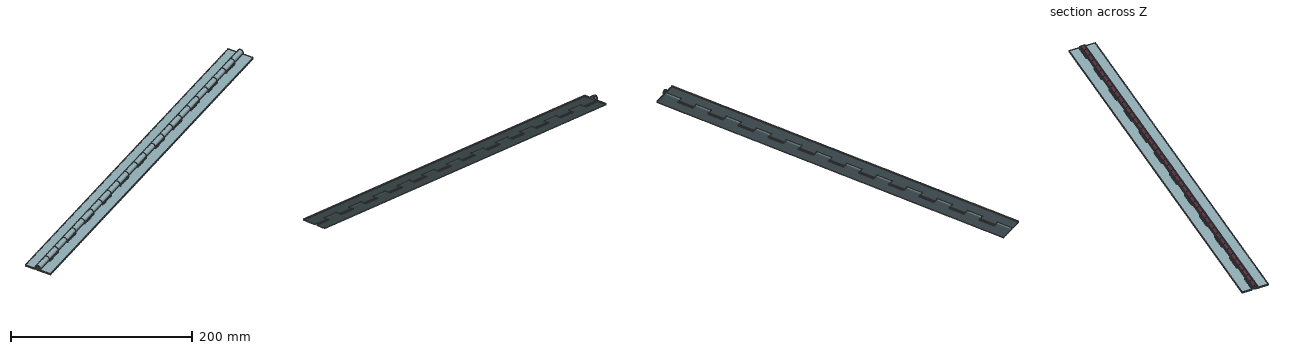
import cadquery as cq

hinge_length = 450.0
hinge_width = 32.0
barrel_diameter = 6.8
sheet_thickness = 1.6
knuckle_count = 23
notch_clearance = 0.55

barrel_radius = barrel_diameter / 2
pin_radius = barrel_radius - sheet_thickness
knuckle_length = hinge_length / knuckle_count
notch_reach = barrel_radius + notch_clearance

RIGHT = 1
LEFT = -1


def rod(radius, start_y, length):
    """Solid cylinder on the hinge axis."""
    plane = cq.Plane(origin=(0, start_y, barrel_radius), xDir=(1, 0, 0), normal=(0, 1, 0))
    return cq.Workplane(plane).circle(radius).extrude(length)


def sheet(x_near, x_far, start_y, length):
    """Flat piece of leaf between two distances from the hinge axis."""
    return (
        cq.Workplane("XY")
        .center((x_near + x_far) / 2, start_y + length / 2)
        .rect(abs(x_far - x_near), length)
        .extrude(sheet_thickness)
    )


def make_leaf(side, first_knuckle):
    """Leaf on one side, carrying every second knuckle from first_knuckle on."""
    start_y = -hinge_length / 2
    leaf = sheet(side * notch_reach, side * hinge_width / 2, start_y, hinge_length)
    for knuckle in range(first_knuckle, knuckle_count, 2):
        knuckle_y = start_y + knuckle * knuckle_length
        leaf = leaf.union(sheet(0, side * notch_reach, knuckle_y, knuckle_length))
        leaf = leaf.union(rod(barrel_radius, knuckle_y, knuckle_length))
    return leaf.cut(rod(pin_radius, start_y, hinge_length))


right_leaf = make_leaf(RIGHT, first_knuckle=0)
left_leaf = make_leaf(LEFT, first_knuckle=1)
pin = rod(pin_radius, -hinge_length / 2, hinge_length)

result = cq.Compound.makeCompound([right_leaf.val(), left_leaf.val(), pin.val()])